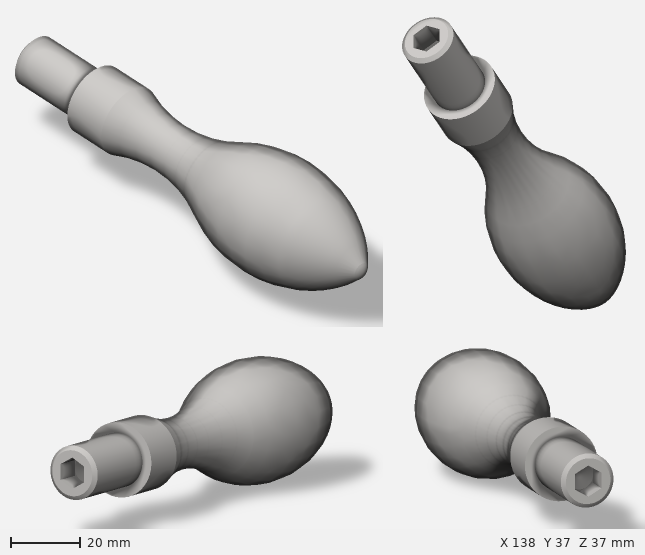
import cadquery as cq
import math

length = 138.0
shank_radius = 8.0
shank_length = 26.0
chamfer_length = 1.0
chamfer_depth = 1.2
collar_radius = 11.0

neck_x = 57.5
neck_radius = 7.7
belly_x = 101.5
belly_radius = 18.5
tip_arc = 4.0

socket_flats = 8.0
socket_depth = 8.0
socket_point_angle = 120.0

tip_center_x = length - tip_arc
tip_gap = tip_center_x - belly_x
belly_arc = (tip_gap**2 + belly_radius**2 - tip_arc**2) / (2 * (belly_radius - tip_arc))
belly_center_r = belly_radius - belly_arc
tip_angle = math.atan2(-belly_center_r, tip_gap)

neck_gap = belly_x - neck_x
neck_rise = neck_radius - belly_center_r
neck_arc = (neck_gap**2 + neck_rise**2 - belly_arc**2) / (2 * (belly_arc - neck_rise))
neck_center_r = neck_radius + neck_arc
joint_share = belly_arc / (belly_arc + neck_arc)
joint_x = belly_x - neck_gap * joint_share
joint_r = belly_center_r + (neck_center_r - belly_center_r) * joint_share

collar_end = neck_x - math.sqrt(neck_arc**2 - (neck_center_r - collar_radius) ** 2)


def tip_point(angle):
    """Point on the tip arc at an angle from the axis."""
    return (tip_center_x + tip_arc * math.cos(angle), tip_arc * math.sin(angle))


def make_body():
    """Revolve the half outline about the X axis."""
    outline = (
        cq.Workplane("XY")
        .lineTo(0, shank_radius - chamfer_depth)
        .lineTo(chamfer_length, shank_radius)
        .lineTo(shank_length, shank_radius)
        .lineTo(shank_length, collar_radius)
        .lineTo(collar_end, collar_radius)
        .threePointArc((neck_x, neck_radius), (joint_x, joint_r))
        .threePointArc((belly_x, belly_radius), tip_point(tip_angle))
        .threePointArc(tip_point(tip_angle / 2), (length, 0))
        .close()
    )
    return outline.revolve(360, (0, 0, 0), (1, 0, 0))


def make_socket():
    """Hexagon with corners up and down, ending in a cone as wide as the flats."""
    corner_diameter = socket_flats / math.cos(math.pi / 6)
    hexagon = (
        cq.Workplane("YZ")
        .transformed(rotate=(0, 0, 90))
        .polygon(6, corner_diameter)
        .extrude(socket_depth)
    )
    cone_radius = socket_flats / 2
    cone_height = cone_radius / math.tan(math.radians(socket_point_angle / 2))
    cone = (
        cq.Workplane("XY")
        .moveTo(socket_depth, 0)
        .lineTo(socket_depth, cone_radius)
        .lineTo(socket_depth + cone_height, 0)
        .close()
        .revolve(360, (0, 0, 0), (1, 0, 0))
    )
    return hexagon.union(cone)


result = make_body().cut(make_socket())